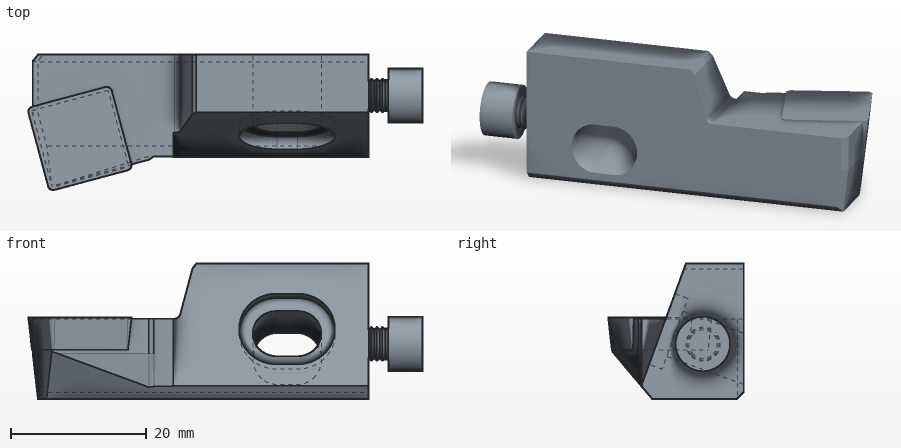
import cadquery as cq
import math

OVERALL_LENGTH = 58.05
OVERALL_DEPTH = 20.0
HEIGHT = 20.0

INSERT_SIDE = 12.7
INSERT_RADIUS = 0.8
INSERT_THICKNESS = 4.75
INSERT_TOP_Z = 12.0
INSERT_ANGLE = 15.0
FLANK_DRAFT = 6.3
COS_A = math.cos(math.radians(INSERT_ANGLE))
SIN_A = math.sin(math.radians(INSERT_ANGLE))
DRAFT_SLOPE = math.tan(math.radians(FLANK_DRAFT))
HALF_SIDE = INSERT_SIDE / 2
INSERT_REACH = (HALF_SIDE - INSERT_RADIUS) * (COS_A + SIN_A) + INSERT_RADIUS
INSERT_X = INSERT_REACH
INSERT_Y = INSERT_REACH - OVERALL_DEPTH

BLOCK_END_X = 50.1
STEP_X = 21.35
LEDGE_Z = 11.85
STEP_WALL_ANGLE = 15.0
STEP_FILLET = 0.85
TOP_EDGE_X = 24.75
TOP_CHAMFER_RUN = 0.6
TOP_CHAMFER_DROP = 0.75
TOP_DEPTH = 8.55
FRONT_SLOPE = 20.0
BASE_DEPTH = 13.45
UNDERCUT_ANGLE = 40.0
UNDERCUT_SLOPE = math.tan(math.radians(UNDERCUT_ANGLE))
BACK_CHAMFER = 1.05

SEAT_LINE_Z = 6.75
NOSE_LEFT_X = 0.65
CORNER_RUN = 0.8
CORNER_DEPTH = 1.0
NOSE_SETBACK = 0.7
SHOULDER_Y = -15.05
SHOULDER_X = 18.45
SHOULDER_BEVEL = 0.7

SLOT_X = 38.1
SLOT_Z = 10.35
SLOT_CENTRES = 3.0
SLOT_WIDTH = 7.1
COUNTERBORE_WIDTH = 11.1
COUNTERBORE_DEPTH = 2.0

SCREW_Y = -6.05
SCREW_Z = 8.1
HEAD_RADIUS = 4.0
HEAD_START_X = 53.0
THREAD_RADIUS = 2.5
THREAD_ROOT_RADIUS = 2.1
THREAD_PITCH = 0.8
THREAD_TURNS = 3
NECK_RADIUS = 2.3

CLEARANCE = 5.8


def insert_frame(z):
    """Workplane at height z, centred on the insert and turned with it."""
    return cq.Workplane("XY", origin=(INSERT_X, INSERT_Y, z)).transformed(rotate=(0, 0, INSERT_ANGLE))


def make_insert():
    """Square insert tapering from its top face to its seat."""
    outline = cq.Sketch().rect(INSERT_SIDE, INSERT_SIDE).vertices().fillet(INSERT_RADIUS)
    return insert_frame(INSERT_TOP_Z).placeSketch(outline).extrude(-INSERT_THICKNESS, taper=FLANK_DRAFT)


def nose_outline(z):
    """Plan outline of the nose at height z; its side faces are drafted."""
    seat_drop = max(SEAT_LINE_Z - z, 0) * DRAFT_SLOPE
    flank_u = -HALF_SIDE + (INSERT_TOP_Z - z) * DRAFT_SLOPE
    front_v = -HALF_SIDE + NOSE_SETBACK + seat_drop
    left_x = NOSE_LEFT_X + seat_drop / COS_A
    tip = (
        INSERT_X + flank_u * COS_A - front_v * SIN_A,
        INSERT_Y + flank_u * SIN_A + front_v * COS_A,
    )
    bevel_x = SHOULDER_X - SHOULDER_BEVEL
    bevel_y = tip[1] + (bevel_x - tip[0]) * SIN_A / COS_A
    flank_end_y = tip[1] + (tip[0] - left_x) * COS_A / SIN_A
    return [
        (left_x, flank_end_y),
        tip,
        (bevel_x, bevel_y),
        (SHOULDER_X, SHOULDER_Y),
        (STEP_X, SHOULDER_Y),
        (STEP_X, 0),
        (left_x + CORNER_RUN, 0),
        (left_x, -CORNER_DEPTH),
    ]


def nose_layer(bottom, top):
    """Drafted slice of the nose between two heights."""
    wires = []
    for z in (bottom, top):
        wires.append(cq.Wire.makePolygon([cq.Vector(x, y, z) for x, y in nose_outline(z)], close=True))
    return cq.Workplane(cq.Solid.makeLoft(wires, True))


def make_block():
    """Block with a sloping front face and a leaning step wall."""
    chamfer_x = TOP_EDGE_X - TOP_CHAMFER_RUN
    chamfer_z = HEIGHT - TOP_CHAMFER_DROP
    wall_foot_x = chamfer_x - (chamfer_z - LEDGE_Z) * math.tan(math.radians(STEP_WALL_ANGLE))
    side = (
        cq.Workplane("XZ")
        .moveTo(STEP_X, 0)
        .lineTo(BLOCK_END_X, 0)
        .lineTo(BLOCK_END_X, HEIGHT)
        .lineTo(TOP_EDGE_X, HEIGHT)
        .lineTo(chamfer_x, chamfer_z)
        .lineTo(wall_foot_x, LEDGE_Z)
        .lineTo(STEP_X, LEDGE_Z)
        .close()
        .extrude(OVERALL_DEPTH)
    )
    side = side.edges(cq.selectors.NearestToPointSelector((wall_foot_x, -OVERALL_DEPTH / 2, LEDGE_Z)))
    side = side.fillet(STEP_FILLET)
    foot_y = -TOP_DEPTH - HEIGHT * math.tan(math.radians(FRONT_SLOPE))
    section = (
        cq.Workplane("YZ")
        .polyline([(0, 0), (foot_y, 0), (-TOP_DEPTH, HEIGHT), (0, HEIGHT)])
        .close()
        .extrude(OVERALL_LENGTH)
    )
    return side.intersect(section)


def make_base_envelope():
    """Lower front undercut and back chamfer, running the full length."""
    return (
        cq.Workplane("YZ")
        .polyline([
            (0, BACK_CHAMFER),
            (-BACK_CHAMFER, 0),
            (-BASE_DEPTH, 0),
            (-BASE_DEPTH - HEIGHT * UNDERCUT_SLOPE, HEIGHT),
            (0, HEIGHT),
        ])
        .close()
        .extrude(OVERALL_LENGTH)
    )


def make_slot():
    """Counterbored slot, entering square to the sloping front face."""
    face_y = -TOP_DEPTH - (HEIGHT - SLOT_Z) * math.tan(math.radians(FRONT_SLOPE))
    slope = math.radians(FRONT_SLOPE)
    face = cq.Workplane(cq.Plane(
        origin=(SLOT_X, face_y, SLOT_Z),
        xDir=(1, 0, 0),
        normal=(0, -math.cos(slope), math.sin(slope)),
    ))
    counterbore = face.slot2D(SLOT_CENTRES + COUNTERBORE_WIDTH, COUNTERBORE_WIDTH).extrude(-COUNTERBORE_DEPTH)
    through = face.slot2D(SLOT_CENTRES + SLOT_WIDTH, SLOT_WIDTH).extrude(-OVERALL_DEPTH - CLEARANCE)
    return counterbore.union(through)


def make_screw():
    """Exposed part of the adjusting screw: ring-grooved thread, neck and head."""
    outline = [(BLOCK_END_X, 0), (BLOCK_END_X, THREAD_ROOT_RADIUS)]
    for turn in range(THREAD_TURNS):
        root_x = BLOCK_END_X + turn * THREAD_PITCH
        outline.append((root_x + THREAD_PITCH / 2, THREAD_RADIUS))
        outline.append((root_x + THREAD_PITCH, THREAD_ROOT_RADIUS))
    thread_end_x = BLOCK_END_X + THREAD_TURNS * THREAD_PITCH
    outline += [
        (thread_end_x, NECK_RADIUS),
        (HEAD_START_X, NECK_RADIUS),
        (HEAD_START_X, HEAD_RADIUS),
        (OVERALL_LENGTH, HEAD_RADIUS),
        (OVERALL_LENGTH, 0),
    ]
    profile = cq.Workplane("XY").polyline(outline).close()
    return profile.revolve(360, (0, 0, 0), (1, 0, 0)).translate((0, SCREW_Y, SCREW_Z))


def make_corner_relief():
    """Clears the holder from around the insert's rounded cutting corner."""
    size = 4 * INSERT_RADIUS
    return (
        insert_frame(INSERT_TOP_Z)
        .center(-HALF_SIDE, -HALF_SIDE)
        .rect(size, size)
        .extrude(-INSERT_THICKNESS)
    )


def make_holder(insert):
    """Nose, block and screw in one piece, with a pocket for the insert."""
    nose = nose_layer(0, SEAT_LINE_Z).union(nose_layer(SEAT_LINE_Z, LEDGE_Z))
    holder = nose.union(make_block()).intersect(make_base_envelope())
    holder = holder.cut(make_slot()).cut(insert).cut(make_corner_relief())
    return holder.union(make_screw())


insert = make_insert()
holder = make_holder(insert)
result = cq.Compound.makeCompound([holder.solids().val(), insert.val()])